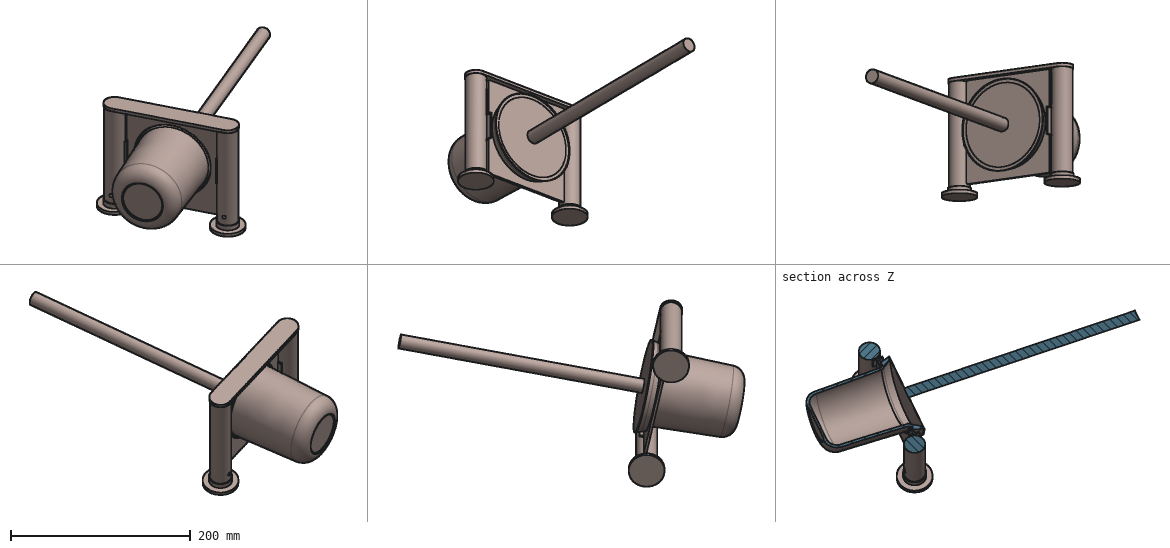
import cadquery as cq
import math

post_spacing = 134.0
post_diameter = 24.0
total_height = 134.0
bar_thickness = 4.0
bar_width = 25.1
foot_flange_diameter = 40.0
foot_flange_thickness = 4.0
collar_diameter = 26.0
collar_height = 6.0
set_screw_diameter = 4.0
set_screw_depth = 6.0
set_screw_height = 20.0

post_x = post_spacing / 2
post_radius = post_diameter / 2
foot_height = foot_flange_thickness + collar_height
post_top = total_height - bar_thickness

plate_gap = 1.0
plate_thickness = 3.0
plate_front = 3.25
plate_hole_radius = 45.5
plate_bottom = 12.0
plate_corner_radius = 1.5
pad_width = 2.0
pad_length = 31.0
pad_thickness = 12.0

plate_width = post_spacing - post_diameter - 2 * plate_gap
plate_height = post_top - plate_bottom
axis_z = plate_bottom + plate_height / 2
plate_back = plate_front + plate_thickness
plate_middle = plate_front + plate_thickness / 2

cup_bottom = -92.0
cup_bottom_radius = 40.5
cup_round_radius = 16.0
cup_shoulder_radius = 42.8
cup_neck_radius = 44.5
cup_flange_radius = 49.0
flare_radius = 51.0
flare_y = 12.5
rim_radius = 52.0
rim_y = 16.8
cup_wall = 4.0
bottom_recess_radius = 24.5
bottom_recess_floor_radius = 23.0
bottom_recess_depth = 1.0

lid_radius = 52.5
lid_thickness = 1.2
handle_radius = 8.0
handle_end = 294.0


def cylinder_z(diameter, bottom, height):
    return cq.Workplane("XY").workplane(offset=bottom).circle(diameter / 2).extrude(height)


def cylinder_y(radius, start, end):
    return (
        cq.Workplane("XZ", origin=(0, start, axis_z))
        .circle(radius)
        .extrude(start - end)
    )


def revolve_about_y(profile):
    """Turn a profile drawn as (radius, y) about the cup axis."""
    return profile.close().revolve(360, (0, 0, 0), (0, 1, 0)).translate((0, 0, axis_z))


def make_foot(x):
    flange = cylinder_z(foot_flange_diameter, 0, foot_flange_thickness)
    collar = cylinder_z(collar_diameter, foot_flange_thickness, collar_height)
    return flange.union(collar).translate((x, 0, 0))


def make_post(x):
    post = cylinder_z(post_diameter, foot_height, post_top - foot_height)
    set_screw_hole = (
        cq.Workplane("XZ", origin=(0, -post_radius, set_screw_height))
        .circle(set_screw_diameter / 2)
        .extrude(-set_screw_depth)
    )
    return post.cut(set_screw_hole).translate((x, 0, 0))


def make_bar():
    return (
        cq.Workplane("XY", origin=(0, 0, post_top))
        .slot2D(post_spacing + bar_width, bar_width)
        .extrude(bar_thickness)
    )


def make_plate():
    plate = (
        cq.Workplane("XY")
        .box(plate_width, plate_thickness, plate_height)
        .edges("|Y")
        .fillet(plate_corner_radius)
        .translate((0, plate_middle, axis_z))
    )
    pad_x = post_x - post_radius - pad_width / 2
    for side in (-1, 1):
        pad = cq.Workplane("XY").box(pad_width, pad_thickness, pad_length)
        plate = plate.union(pad.translate((side * pad_x, plate_middle, axis_z)))
    return plate.cut(cylinder_y(plate_hole_radius, plate_front, plate_back))


def make_cup():
    round_center_radius = cup_bottom_radius - cup_round_radius
    round_top = cup_bottom + cup_round_radius
    diagonal = cup_round_radius * math.sqrt(0.5)
    outside = revolve_about_y(
        cq.Workplane("XY")
        .moveTo(0, cup_bottom)
        .lineTo(round_center_radius, cup_bottom)
        .threePointArc(
            (round_center_radius + diagonal, round_top - diagonal),
            (cup_bottom_radius, round_top),
        )
        .lineTo(cup_shoulder_radius, plate_front)
        .lineTo(cup_neck_radius, plate_back)
        .lineTo(cup_flange_radius, plate_back)
        .lineTo(flare_radius, flare_y)
        .lineTo(rim_radius, rim_y)
        .lineTo(0, rim_y)
    )
    inner_round = cup_round_radius - cup_wall
    inner_diagonal = inner_round * math.sqrt(0.5)
    inside = revolve_about_y(
        cq.Workplane("XY")
        .moveTo(0, cup_bottom + cup_wall)
        .lineTo(round_center_radius, cup_bottom + cup_wall)
        .threePointArc(
            (round_center_radius + inner_diagonal, round_top - inner_diagonal),
            (cup_bottom_radius - cup_wall, round_top),
        )
        .lineTo(cup_shoulder_radius - cup_wall, plate_front)
        .lineTo(cup_neck_radius - cup_wall, plate_back)
        .lineTo(rim_radius - cup_wall, rim_y)
        .lineTo(0, rim_y)
    )
    recess = revolve_about_y(
        cq.Workplane("XY")
        .moveTo(0, cup_bottom)
        .lineTo(bottom_recess_radius, cup_bottom)
        .lineTo(bottom_recess_floor_radius, cup_bottom + bottom_recess_depth)
        .lineTo(0, cup_bottom + bottom_recess_depth)
    )
    return outside.cut(inside).cut(recess)


def make_brush():
    lid = cylinder_y(lid_radius, rim_y, rim_y + lid_thickness)
    handle = cylinder_y(handle_radius, rim_y, handle_end)
    return lid.union(handle)


posts = [make_post(side * post_x) for side in (-1, 1)]
feet = [make_foot(side * post_x) for side in (-1, 1)]
bar = make_bar()
plate = make_plate()
cup = make_cup()
brush = make_brush()

result = cq.Compound.makeCompound(
    [body.val() for body in (*posts, *feet, bar, plate, cup, brush)]
)